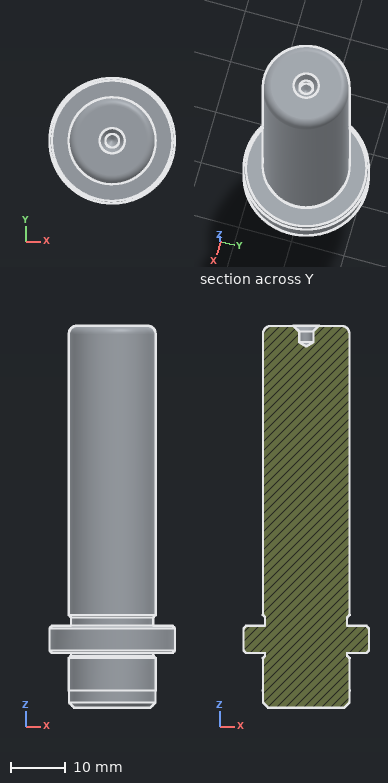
import cadquery as cq
import math

length = 70.0
pin_radius = 8.0
top_round = 1.55

collar_diameter = 23.0
collar_radius = collar_diameter / 2
collar_bottom = 10.0
collar_thickness = 5.05
collar_chamfer = 0.5
collar_top = collar_bottom + collar_thickness

groove_radius = 7.55
groove_chamfer = pin_radius - groove_radius
upper_groove_width = 1.95
lower_groove_width = 0.9
upper_groove_top = collar_top + upper_groove_width
lower_groove_bottom = collar_bottom - lower_groove_width

lead_length = 3.15
lead_diameter = 15.9
lead_radius = lead_diameter / 2
lead_chamfer = 1.0

countersink_radius = 2.3
countersink_angle = 90.0
pilot_radius = 1.25
pilot_depth = 3.0
drill_tip_angle = 118.0


def cone_height(large_radius, small_radius, included_angle):
    """Axial length of a cone between two radii."""
    return (large_radius - small_radius) / math.tan(math.radians(included_angle / 2))


def make_pin():
    """Solid pin with collar, grooves and lead-in, revolved about Z."""
    round_offset = top_round * math.sqrt(0.5)
    round_centre_radius = pin_radius - top_round
    round_centre_height = length - top_round
    profile = (
        cq.Workplane("XZ")
        .lineTo(lead_radius - lead_chamfer, 0)
        .lineTo(lead_radius, lead_chamfer)
        .lineTo(lead_radius, lead_length)
        .lineTo(pin_radius, lead_length)
        .lineTo(pin_radius, lower_groove_bottom)
        .lineTo(groove_radius, lower_groove_bottom + groove_chamfer)
        .lineTo(groove_radius, collar_bottom)
        .lineTo(collar_radius - collar_chamfer, collar_bottom)
        .lineTo(collar_radius, collar_bottom + collar_chamfer)
        .lineTo(collar_radius, collar_top - collar_chamfer)
        .lineTo(collar_radius - collar_chamfer, collar_top)
        .lineTo(groove_radius, collar_top)
        .lineTo(groove_radius, upper_groove_top - groove_chamfer)
        .lineTo(pin_radius, upper_groove_top)
        .lineTo(pin_radius, round_centre_height)
        .threePointArc(
            (round_centre_radius + round_offset, round_centre_height + round_offset),
            (round_centre_radius, length),
        )
        .lineTo(0, length)
        .close()
    )
    return profile.revolve(360, (0, 0, 0), (0, 1, 0))


def make_centre_hole():
    """Countersink, pilot bore and drill tip as one cutting body."""
    countersink_bottom = length - cone_height(countersink_radius, pilot_radius, countersink_angle)
    pilot_bottom = length - pilot_depth
    tip_bottom = pilot_bottom - cone_height(pilot_radius, 0, drill_tip_angle)
    profile = (
        cq.Workplane("XZ")
        .moveTo(0, length)
        .lineTo(countersink_radius, length)
        .lineTo(pilot_radius, countersink_bottom)
        .lineTo(pilot_radius, pilot_bottom)
        .lineTo(0, tip_bottom)
        .close()
    )
    return profile.revolve(360, (0, 0, 0), (0, 1, 0))


result = make_pin().cut(make_centre_hole())